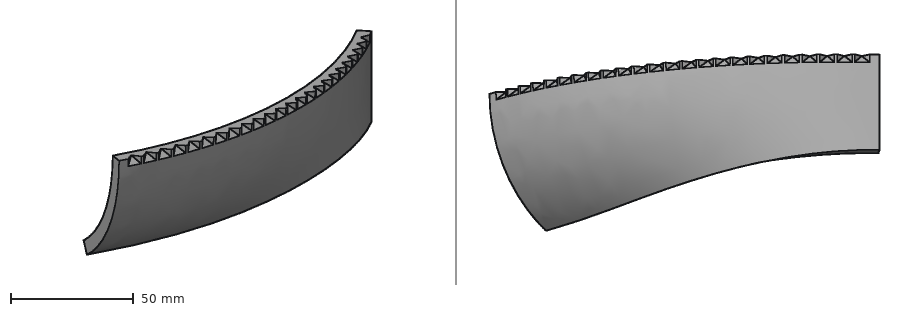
import cadquery as cq
import math

plan_radius = 186.2
plan_sweep = 55.0
axis_x = -103.0
wall = 6.1

front_radius = 61.0
front_sweep = 59.6
tip_height = 40.0
height_skew = 1.2
inset_skew = 1.05
section_count = 9

front_height = front_radius * math.sin(math.radians(front_sweep))
front_inset = front_radius * (1 - math.cos(math.radians(front_sweep)))

notch_pitches = 25
notch_depth = 3.0
notch_drop = 3.4
notch_half_width = 3.0
clearance = 0.9


def smooth_step(u):
    """Rise from 0 to 1 with level ends."""
    return u * u * (3 - 2 * u)


def section_size(u):
    """Height, bottom inset and arc angle (radians) of the outer face at fraction u of the plan."""
    height = front_height + (tip_height - front_height) * smooth_step(u ** height_skew)
    inset = front_inset * (1 - smooth_step(u ** inset_skew))
    angle = 2 * math.atan2(inset, height)
    return height, inset, angle


def radial_direction(u):
    plan_angle = math.radians(plan_sweep * u)
    return cq.Vector(math.cos(plan_angle), math.sin(plan_angle), 0)


def place(u, inset, depth):
    """Point of the radial plane at fraction u, inset from the outer top edge and at a depth below it."""
    return cq.Vector(axis_x, 0, -depth) + radial_direction(u) * (plan_radius - inset)


def section_wire(u):
    height, inset, angle = section_size(u)

    def across(fraction, offset):
        """Point on the outer face, or offset inwards from it, part way down the section."""
        turn = angle * fraction
        if inset > 0:
            radius = height / math.sin(angle)
            arc_inset = radius * (1 - math.cos(turn))
            arc_depth = radius * math.sin(turn)
        else:
            arc_inset = 0
            arc_depth = height * fraction
        return place(u, arc_inset + offset * math.cos(turn), arc_depth - offset * math.sin(turn))

    def face_edge(start, middle, end):
        if inset > 0:
            return cq.Edge.makeThreePointArc(start, middle, end)
        return cq.Edge.makeLine(start, end)

    outer = [across(fraction, 0) for fraction in (0, 0.5, 1)]
    inner = [across(fraction, wall) for fraction in (1, 0.5, 0)]
    return cq.Wire.assembleEdges([
        face_edge(*outer),
        cq.Edge.makeLine(outer[2], inner[0]),
        face_edge(*inner),
        cq.Edge.makeLine(inner[2], outer[0]),
    ])


def make_shell():
    wires = [section_wire(i / (section_count - 1)) for i in range(section_count)]
    return cq.Solid.makeLoft(wires)


def notch_cutter(u):
    """V wedge with a sloping floor, pointing into the wall from the outer top edge."""
    up = cq.Vector(0, 0, 1)
    along = up.cross(radial_direction(u))
    reach = notch_depth + clearance
    half_width = notch_half_width / notch_depth * reach
    floor_depth = notch_drop / notch_depth * reach

    def wedge_corners(outer_depth, apex_depth):
        outer_middle = place(u, -clearance, outer_depth)
        return [
            place(u, notch_depth, apex_depth),
            outer_middle - along * half_width,
            outer_middle + along * half_width,
        ]

    floor = wedge_corners(floor_depth, 0)
    lid = wedge_corners(-clearance, -clearance)
    sides = [[floor[i - 1], floor[i], lid[i], lid[i - 1]] for i in range(3)]
    faces = [
        cq.Face.makeFromWires(cq.Wire.makePolygon(corners, close=True))
        for corners in [floor, lid, *sides]
    ]
    return cq.Solid.makeSolid(cq.Shell.makeShell(faces))


cutters = [notch_cutter(i / notch_pitches) for i in range(1, notch_pitches)]
result = cq.Workplane(make_shell().cut(*cutters))